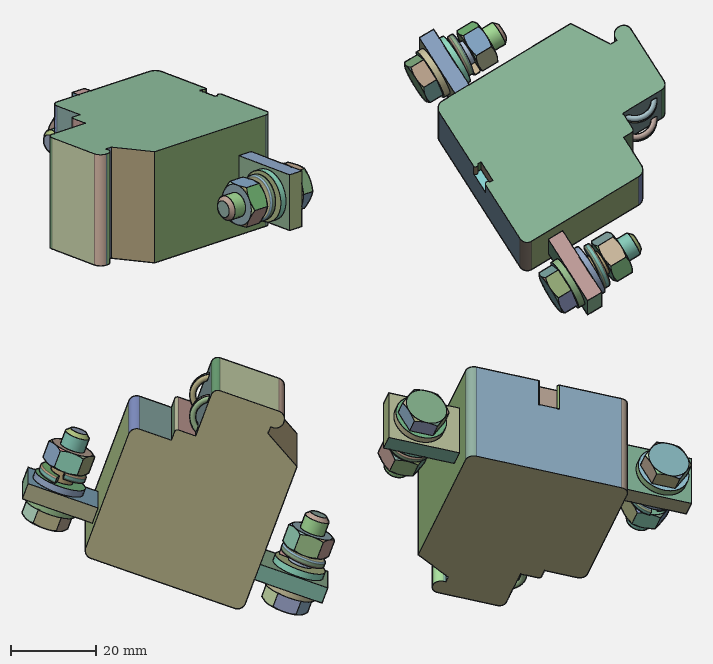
import cadquery as cq
import math

housing_width = 40.0
housing_depth = 49.0
housing_height = 28.0
body_depth = 33.7
step_depth = 36.6
step_inset = 10.0
foot_inset = 15.0
body_corner_radius = 2.0
step_corner_radius = 0.7
foot_corner_radius = 1.65

flank_start_depth = 37.65
flank_end_depth = 43.0
hook_top_depth = 44.7
hook_neck_x = 10.8
hook_tip_x = 13.35
hook_corner_radius = 2.0

slot_width = 5.25
slot_depth = 2.0
slot_height = 7.5
lip_depth = 1.2
lip_reach = 0.45

bar_length = 75.0
bar_thickness = 4.0
bar_height = 14.0
bar_back_depth = 6.6
bar_z = -1.0

wire_diameter = 1.4
ring_outer_radius = 5.25
ring_pitch = 1.35
ring_center_x = -2.6
ring_center_depth = 41.3
ring_pair_heights = [8.25, -10.05]

bolt_x = 30.0
shank_diameter = 6.0
across_flats = 10.0
head_height = 4.0
nut_height = 5.0
washer_diameter = 12.5
washer_thickness = 1.65
spring_height = 3.3
spring_outer_diameter = 11.1
spring_thickness = 1.6
spring_edge_radius = 0.4
spring_turn_angle = 345
tip_length = 4.35
tip_chamfer = 1.0
hex_chamfer_angle = 30
shank_overlap = 0.15

head_washer_start = head_height
bar_start = head_washer_start + washer_thickness
nut_washer_start = bar_start + bar_thickness
spring_start = nut_washer_start + washer_thickness
nut_start = spring_start + spring_height
bolt_length = nut_start + nut_height + tip_length


def make_block():
    """Extruded housing outline with rounded vertical edges."""
    left = -housing_width / 2
    right = housing_width / 2
    step_x = left + step_inset
    foot_x = left + foot_inset
    outline = [
        (left, 0),
        (right, 0),
        (right, -flank_start_depth),
        (hook_neck_x, -flank_end_depth),
        (hook_neck_x, -hook_top_depth),
        (hook_tip_x, -hook_top_depth),
        (hook_tip_x, -housing_depth),
        (foot_x, -housing_depth),
        (foot_x, -step_depth),
        (step_x, -step_depth),
        (step_x, -body_depth),
        (left, -body_depth),
    ]
    rounded_corners = [
        ((left, 0), body_corner_radius),
        ((right, 0), body_corner_radius),
        ((left, -body_depth), body_corner_radius),
        ((step_x, -step_depth), step_corner_radius),
        ((foot_x, -housing_depth), foot_corner_radius),
        ((hook_tip_x, -housing_depth), hook_corner_radius),
        ((hook_tip_x, -hook_top_depth), hook_corner_radius),
    ]
    block = (
        cq.Workplane("XY", origin=(0, 0, -housing_height / 2))
        .polyline(outline)
        .close()
        .extrude(housing_height)
    )
    for (x, y), radius in rounded_corners:
        corner = cq.selectors.NearestToPointSelector((x, y, 0))
        block = block.edges("|Z").edges(corner).fillet(radius)
    return block


def make_marker_slot():
    """Cutter for the slot, whose mouth is narrowed by two rounded lips."""
    half = slot_width / 2
    tip_x = half - lip_reach
    return (
        cq.Workplane("XY", origin=(0, 0, housing_height / 2 - slot_height))
        .moveTo(-half, 0)
        .threePointArc((-tip_x, -lip_depth / 2), (-half, -lip_depth))
        .lineTo(-half, -slot_depth)
        .lineTo(half, -slot_depth)
        .lineTo(half, -lip_depth)
        .threePointArc((tip_x, -lip_depth / 2), (half, 0))
        .close()
        .extrude(slot_height)
    )


def make_bar():
    """Flat terminal bar with a bolt hole near each end."""
    bar_center_y = -(bar_back_depth + bar_thickness / 2)
    bar = cq.Workplane("XY").box(bar_length, bar_thickness, bar_height)
    holes = (
        cq.Workplane("XZ")
        .pushPoints([(-bolt_x, 0), (bolt_x, 0)])
        .circle(shank_diameter / 2)
        .extrude(bar_thickness, both=True)
    )
    return bar.cut(holes).translate((0, bar_center_y, bar_z))


def make_ring(z):
    """One wire ring lying flat at height z, half sunk in the foot."""
    ring = cq.Solid.makeTorus(ring_outer_radius - wire_diameter / 2, wire_diameter / 2)
    return cq.Workplane(ring).translate((ring_center_x, -ring_center_depth, z))


def make_housing():
    """Housing with its bar and wire rings as one solid."""
    housing = make_block().cut(make_marker_slot()).union(make_bar())
    for pair_z in ring_pair_heights:
        for side in (-1, 1):
            housing = housing.union(make_ring(pair_z + side * ring_pitch / 2))
    return housing


def make_cylinder(start, length, diameter):
    """Cylinder on the bolt axis."""
    return cq.Workplane("XY", origin=(0, 0, start)).circle(diameter / 2).extrude(length)


def make_hex(start, height, chamfer_far_end):
    """Hexagon with conically chamfered corners, at its start and optionally at its far end."""
    corner_diameter = across_flats / math.cos(math.pi / 6)
    chamfer_width = (corner_diameter - across_flats) / 2
    chamfer_height = chamfer_width * math.tan(math.radians(hex_chamfer_angle))
    prism = cq.Workplane("XY", origin=(0, 0, start)).polygon(6, corner_diameter).extrude(height)
    envelope = make_cylinder(start, height, corner_diameter)
    envelope = envelope.faces("<Z").chamfer(chamfer_height, chamfer_width)
    if chamfer_far_end:
        envelope = envelope.faces(">Z").chamfer(chamfer_height, chamfer_width)
    return prism.intersect(envelope)


def make_spring_washer(end_angle):
    """Split spring washer: one left-hand coil that ends against the nut at end_angle."""
    inner_radius = shank_diameter / 2 - shank_overlap
    outer_radius = spring_outer_diameter / 2
    mean_radius = (inner_radius + outer_radius) / 2
    rise = spring_height - spring_thickness
    pitch = rise * 360 / spring_turn_angle
    path = cq.Wire.makeHelix(pitch, rise, mean_radius, lefthand=True)
    section = cq.Sketch().rect(outer_radius - inner_radius, spring_thickness)
    section = section.vertices().fillet(spring_edge_radius)
    coil = (
        cq.Workplane("XZ", origin=(mean_radius, 0, 0))
        .placeSketch(section)
        .sweep(path, isFrenet=True)
    )
    start_angle = end_angle + spring_turn_angle
    coil = coil.rotate((0, 0, 0), (0, 0, 1), start_angle)
    return coil.translate((0, 0, spring_start + spring_thickness / 2))


def make_fastener(x, spring_end_angle):
    """Bolt, washers, spring washer and nut as one solid, with the tip pointing to -Y."""
    shank = make_cylinder(0, bolt_length, shank_diameter).faces(">Z").chamfer(tip_chamfer)
    fastener = (
        shank.union(make_hex(0, head_height, chamfer_far_end=False))
        .union(make_cylinder(head_washer_start, washer_thickness, washer_diameter))
        .union(make_cylinder(nut_washer_start, washer_thickness, washer_diameter))
        .union(make_spring_washer(spring_end_angle))
        .union(make_hex(nut_start, nut_height, chamfer_far_end=True))
    )
    fastener = fastener.rotate((0, 0, 0), (1, 0, 0), 90)
    return fastener.translate((x, bar_start - bar_back_depth, bar_z))


housing = make_housing()

fastener_places = [(-bolt_x, 270), (bolt_x, 180)]
fasteners = [make_fastener(x, angle) for x, angle in fastener_places]

fastener_solids = [fastener.solids().val() for fastener in fasteners]

result = cq.Compound.makeCompound([housing.solids().val(), *fastener_solids])